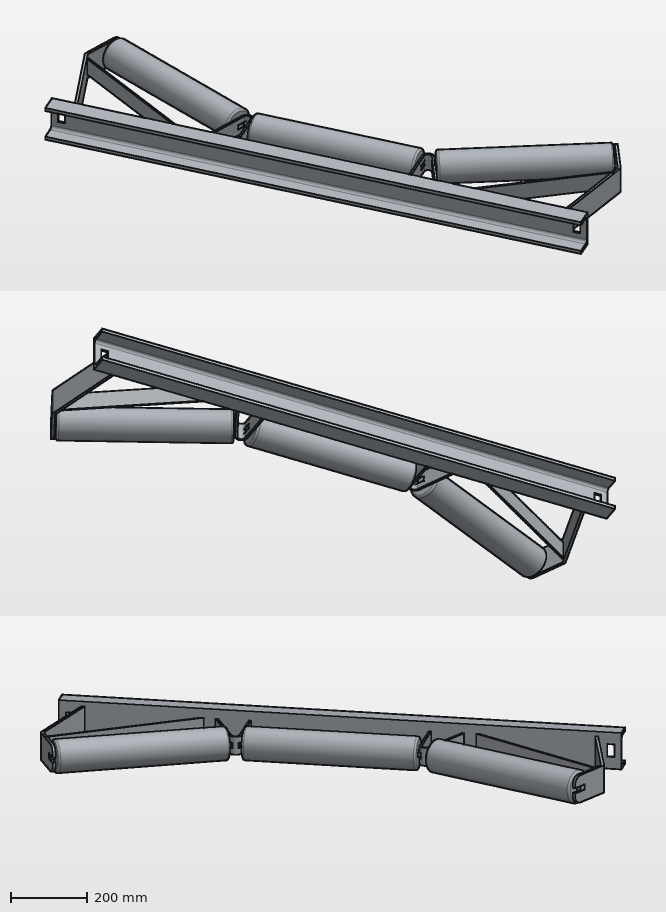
import cadquery as cq
import math

BEAM_LENGTH = 1500.0
BEAM_DEPTH = 50.0
BEAM_HEIGHT = 100.0
WEB_THICKNESS = 6.0
FLANGE_THICKNESS = 10.0
ROOT_RADIUS = 8.5
MOUNT_SLOT_INSET = 28.0
MOUNT_SLOT_WIDTH = 20.0
MOUNT_SLOT_HEIGHT = 35.0

ROLLER_LENGTH = 465.0
ROLLER_DIAMETER = 90.0
ROLLER_EDGE_RADIUS = 6.0
TROUGH_ANGLE = 25.0
CENTRE_AXIS_Y = 168.0
SIDE_INNER_X = 278.0
SIDE_INNER_Y = 177.0
SHAFT_DIAMETER = 20.0
SHAFT_FLATS = 14.0

ROLLER_GAP = 5.0
OUTER_THICKNESS = 8.0
OUTER_WIDTH = 75.0
OUTER_TOP = 33.0
OUTER_KNEE = 95.0
OUTER_TOP_RADIUS = 22.0
OUTER_FOOT_X = 684.0
KNEE_INNER_RADIUS = 6.0
STRAP_WIDTH = 50.0
INNER_THICKNESS = 6.0
ARCH_RADIUS = 16.0
BRACE_THICKNESS = 5.0
BRACE_FOOT_X = 368.0

tilt = math.radians(TROUGH_ANGLE)
AXIS = cq.Vector(math.cos(tilt), math.sin(tilt))
UP = cq.Vector(-math.sin(tilt), math.cos(tilt))
SIDE_INNER = cq.Vector(SIDE_INNER_X, SIDE_INNER_Y)
SIDE_CENTRE = SIDE_INNER + AXIS * (ROLLER_LENGTH / 2)
SIDE_OUTER = SIDE_INNER + AXIS * ROLLER_LENGTH
CENTRE = cq.Vector(0, CENTRE_AXIS_Y)

ROLLER_PLACES = [
    (cq.Vector(-SIDE_CENTRE.x, SIDE_CENTRE.y), -TROUGH_ANGLE, OUTER_THICKNESS, INNER_THICKNESS),
    (CENTRE, 0.0, INNER_THICKNESS, INNER_THICKNESS),
    (SIDE_CENTRE, TROUGH_ANGLE, INNER_THICKNESS, OUTER_THICKNESS),
]


def place(body, centre, angle):
    """Tilt a body built along X at the origin, then move it to its centre."""
    return body.rotate((0, 0, 0), (0, 0, 1), angle).translate(centre)


def plate(outline, width):
    """Extrude a closed XY outline to a width centred on Z = 0."""
    return outline.extrude(width).translate((0, 0, -width / 2))


def rod(diameter, start, end):
    """Round bar along X between two X positions."""
    return cq.Workplane("YZ", origin=(start, 0, 0)).circle(diameter / 2).extrude(end - start)


def flat(vector):
    return (vector.x, vector.y)


def points(*vectors):
    return [flat(vector) for vector in vectors]


def make_roller():
    """Roller with rounded rims and a bore that fits its shaft."""
    half = ROLLER_LENGTH / 2
    body = rod(ROLLER_DIAMETER, -half, half).faces("<X or >X").edges().fillet(ROLLER_EDGE_RADIUS)
    return body.cut(rod(SHAFT_DIAMETER, -half, half))


def make_shaft(start_plate, end_plate):
    """Round shaft, flush with the far faces of its plates, flattened outside the roller."""
    half = ROLLER_LENGTH / 2
    start = -half - ROLLER_GAP - start_plate
    end = half + ROLLER_GAP + end_plate
    between_flats = cq.Workplane("XY").box(BEAM_LENGTH, SHAFT_DIAMETER, SHAFT_FLATS)
    flat_ended = rod(SHAFT_DIAMETER, start, end).intersect(between_flats)
    return flat_ended.union(rod(SHAFT_DIAMETER, -half, half))


def make_beam():
    """Channel section with a mounting slot near each end of its web."""
    beam = cq.Workplane("XY").box(BEAM_LENGTH, BEAM_DEPTH, BEAM_HEIGHT).translate((0, BEAM_DEPTH / 2, 0))
    inner_height = BEAM_HEIGHT - 2 * FLANGE_THICKNESS
    inner_depth = BEAM_DEPTH - WEB_THICKNESS
    channel = cq.Workplane("XY").box(BEAM_LENGTH, inner_depth, inner_height)
    channel = channel.translate((0, inner_depth / 2, 0)).edges("|X and >Y").fillet(ROOT_RADIUS)
    slot_x = BEAM_LENGTH / 2 - MOUNT_SLOT_INSET
    slots = (
        cq.Workplane("XZ")
        .pushPoints([(-slot_x, 0), (slot_x, 0)])
        .rect(MOUNT_SLOT_WIDTH, MOUNT_SLOT_HEIGHT)
        .extrude(-BEAM_DEPTH)
    )
    return beam.cut(channel).cut(slots)


def make_outer_bracket():
    """Cranked plate at the outer end of the right side roller, and its inner knee corner."""
    half = OUTER_THICKNESS / 2
    seat = SIDE_OUTER + AXIS * (ROLLER_GAP + half)
    top = seat + UP * OUTER_TOP
    knee = seat - UP * OUTER_KNEE
    foot = cq.Vector(OUTER_FOOT_X, BEAM_DEPTH)
    leg = (knee - foot).normalized()
    leg_side = cq.Vector(leg.y, -leg.x)
    miter = (AXIS + leg_side) * (half / (1 + AXIS.dot(leg_side)))
    root = foot - leg * OUTER_THICKNESS
    outline = cq.Workplane("XY").polyline(points(
        top + AXIS * half, knee + miter, root + leg_side * half,
        root - leg_side * half, knee - miter, top - AXIS * half,
    )).close()
    bracket = plate(outline, OUTER_WIDTH)
    outer_radius = KNEE_INNER_RADIUS + OUTER_THICKNESS
    bracket = bracket.edges(cq.NearestToPointSelector((knee + miter).toTuple())).fillet(outer_radius)
    bracket = bracket.edges(cq.NearestToPointSelector((knee - miter).toTuple())).fillet(KNEE_INNER_RADIUS)
    for side in (-1, 1):
        corner = top + cq.Vector(0, 0, side * OUTER_WIDTH / 2)
        bracket = bracket.edges(cq.NearestToPointSelector(corner.toTuple())).fillet(OUTER_TOP_RADIUS)
    return bracket, knee - miter


def make_inner_bracket():
    """Arched plate between the centre roller and the right side roller."""
    outer = ARCH_RADIUS
    inner = ARCH_RADIUS - INNER_THICKNESS
    upright_x = ROLLER_LENGTH / 2 + ROLLER_GAP
    face = SIDE_INNER - AXIS * ROLLER_GAP
    rise = (face.x - upright_x - outer * (1 + AXIS.x)) / -UP.x
    bend = face + UP * rise - AXIS * outer
    drop = (bend.y - BEAM_DEPTH + INNER_THICKNESS) / UP.y
    crown = (AXIS - cq.Vector(1, 0)).normalized()
    base_y = BEAM_DEPTH - INNER_THICKNESS
    outline = (
        cq.Workplane("XY")
        .moveTo(upright_x, base_y)
        .lineTo(bend.x - outer, bend.y)
        .threePointArc(*points(bend + crown * outer, bend + AXIS * outer))
        .lineTo(*flat(bend + AXIS * outer - UP * drop))
        .lineTo(*flat(bend + AXIS * inner - UP * drop))
        .lineTo(*flat(bend + AXIS * inner))
        .threePointArc(*points(bend + crown * inner, cq.Vector(bend.x - inner, bend.y)))
        .lineTo(bend.x - inner, base_y)
        .close()
    )
    return plate(outline, STRAP_WIDTH)


def make_brace(knee_corner):
    """Flat diagonal strip from the knee of the outer bracket down to the beam."""
    foot = cq.Vector(BRACE_FOOT_X, BEAM_DEPTH)
    run = (knee_corner - foot).normalized()
    half_side = cq.Vector(-run.y, run.x) * (BRACE_THICKNESS / 2)
    root = foot - run * BRACE_THICKNESS
    tip = knee_corner + run * (BRACE_THICKNESS / 2)
    outline = cq.Workplane("XY").polyline(
        points(root + half_side, tip + half_side, tip - half_side, root - half_side)
    ).close()
    return plate(outline, STRAP_WIDTH)


def shaft_slot(thickness, direction):
    """Open-topped slot for one shaft end, just past the roller's end face."""
    height = 2 * OUTER_TOP
    slot = cq.Workplane("XY").box(thickness + ROLLER_GAP, height, SHAFT_FLATS)
    offset_x = ROLLER_LENGTH / 2 + (ROLLER_GAP + thickness) / 2
    return slot.translate((direction * offset_x, (height - SHAFT_DIAMETER) / 2, 0))


def make_frame():
    """Beam with its welded brackets and braces, slotted for the shafts."""
    outer_bracket, knee_corner = make_outer_bracket()
    half = outer_bracket.union(make_inner_bracket()).union(make_brace(knee_corner))
    above_beam = cq.Workplane("XY").box(2 * BEAM_LENGTH, BEAM_LENGTH, BEAM_HEIGHT)
    above_beam = above_beam.translate((0, BEAM_LENGTH / 2 + BEAM_DEPTH, 0))
    half = half.intersect(above_beam)
    frame = make_beam().union(half).union(half.mirror("YZ"))
    for centre, angle, start_plate, end_plate in ROLLER_PLACES:
        for thickness, direction in ((start_plate, -1), (end_plate, 1)):
            frame = frame.cut(place(shaft_slot(thickness, direction), centre, angle))
    return frame


frame = make_frame()
rollers = []
shafts = []
for centre, angle, start_plate, end_plate in ROLLER_PLACES:
    rollers.append(place(make_roller(), centre, angle).val())
    shafts.append(place(make_shaft(start_plate, end_plate), centre, angle).val())

result = cq.Compound.makeCompound([frame.val(), *rollers, *shafts])